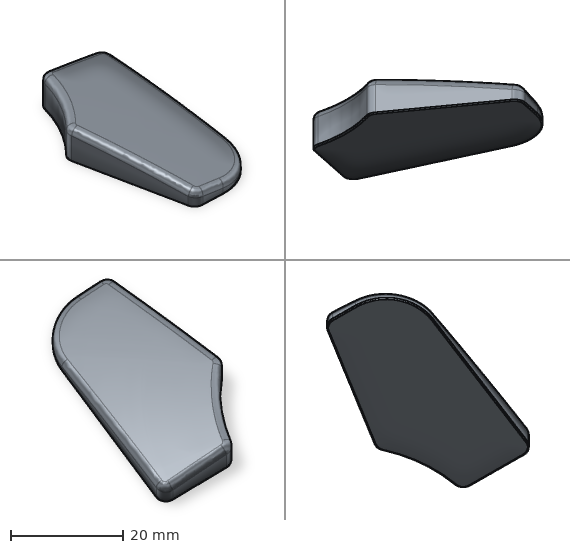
import cadquery as cq
import math

length = 42.4
width = 23.05
corner_radius = 2.1
large_corner_radius = 10.0
left_corner_y = 7.67
tip_x = 15.5
tip_y = -0.2
right_corner_y = 6.5
hollow_radius = 28.85

crown_height = 7.45
crown_start_slope = 6.5
crown_radius = 339.2
crown_reach = 38.15
crown_sweep = 180.0
crown_turn = -45.0
crown_overlap = 2.1

blank_height = 2 * crown_height
top_fillet = 1.5
bottom_chamfer = 0.25

chord = math.hypot(tip_x, left_corner_y - tip_y)
centre_offset = math.sqrt(hollow_radius**2 - (chord / 2)**2)
centre_x = tip_x / 2 - centre_offset * (left_corner_y - tip_y) / chord
centre_y = (left_corner_y + tip_y) / 2 - centre_offset * tip_x / chord


def make_blank():
    """Upright prism with rounded corners, tall enough to be cut by the crown."""
    middle_scale = hollow_radius / centre_offset
    hollow_middle = (
        centre_x + (tip_x / 2 - centre_x) * middle_scale,
        centre_y + ((left_corner_y + tip_y) / 2 - centre_y) * middle_scale,
    )
    blank = (
        cq.Workplane("XY")
        .moveTo(0, width)
        .lineTo(0, left_corner_y)
        .threePointArc(hollow_middle, (tip_x, tip_y))
        .lineTo(length, right_corner_y)
        .lineTo(length, width)
        .close()
        .extrude(blank_height)
    )
    blank = blank.edges("|Z").edges(">(1, 1, 0)").fillet(large_corner_radius)
    for corner in [(0, width), (0, left_corner_y), (tip_x, tip_y), (length, right_corner_y)]:
        blank = blank.edges(cq.selectors.NearestToPointSelector((*corner, crown_height)))
        blank = blank.fillet(corner_radius)
    return blank


def make_crown():
    """Turned solid whose top falls away from the concave edge along an arc."""
    start_angle = math.radians(crown_start_slope)
    arc_centre_r = hollow_radius - crown_radius * math.sin(start_angle)
    arc_centre_z = crown_height - crown_radius * math.cos(start_angle)

    def profile_point(radius):
        rise = math.sqrt(crown_radius**2 - (radius - arc_centre_r)**2)
        return (radius, arc_centre_z + rise)

    inner = hollow_radius - crown_overlap
    outer = hollow_radius + crown_reach
    return (
        cq.Workplane("XZ")
        .moveTo(inner, 0)
        .lineTo(*profile_point(inner))
        .threePointArc(profile_point((inner + outer) / 2), profile_point(outer))
        .lineTo(outer, 0)
        .close()
        .revolve(crown_sweep, (0, 0, 0), (0, 1, 0))
        .rotate((0, 0, 0), (0, 0, 1), crown_turn)
        .translate((centre_x, centre_y, 0))
    )


body = make_blank().intersect(make_crown())
body = body.faces(cq.selectors.NearestToPointSelector((length / 2, width / 2, crown_height)))
body = body.edges().fillet(top_fillet)
result = body.faces("<Z").chamfer(bottom_chamfer)